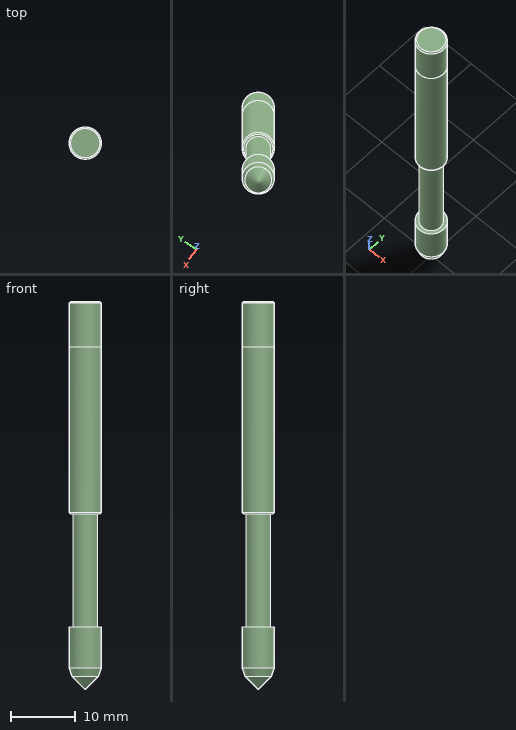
import cadquery as cq

TOTAL_LENGTH = 59.8
BODY_DIAMETER = 5.0

CAP_LENGTH = 7.0
EDGE_CHAMFER = 0.25

CAP_AND_BARREL_LENGTH = 32.75
ROD_DIAMETER = 3.8
HEAD_LENGTH = 9.7
TAPER_START = 3.35
POINT_DIAMETER = 4.1

body_radius = BODY_DIAMETER / 2
rod_radius = ROD_DIAMETER / 2
point_radius = POINT_DIAMETER / 2
point_height = point_radius
cap_bottom = TOTAL_LENGTH - CAP_LENGTH
barrel_bottom = TOTAL_LENGTH - CAP_AND_BARREL_LENGTH


def make_cap():
    """Cylinder with a chamfered top edge."""
    cap = cq.Workplane("XY", origin=(0, 0, cap_bottom)).circle(body_radius).extrude(CAP_LENGTH)
    return cap.faces(">Z").edges().chamfer(EDGE_CHAMFER)


def make_pin():
    """Half profile of the pin, from the tip up to the cap, turned about Z."""
    profile = (
        cq.Workplane("XZ")
        .moveTo(0, 0)
        .lineTo(point_radius, point_height)
        .lineTo(body_radius, TAPER_START)
        .lineTo(body_radius, HEAD_LENGTH)
        .lineTo(rod_radius, HEAD_LENGTH)
        .lineTo(rod_radius, barrel_bottom)
        .lineTo(body_radius - EDGE_CHAMFER, barrel_bottom)
        .lineTo(body_radius, barrel_bottom + EDGE_CHAMFER)
        .lineTo(body_radius, cap_bottom)
        .lineTo(0, cap_bottom)
        .close()
    )
    return profile.revolve(360, (0, 0, 0), (0, 1, 0))


cap = make_cap()
pin = make_pin()

result = cq.Compound.makeCompound([cap.val(), pin.val()])